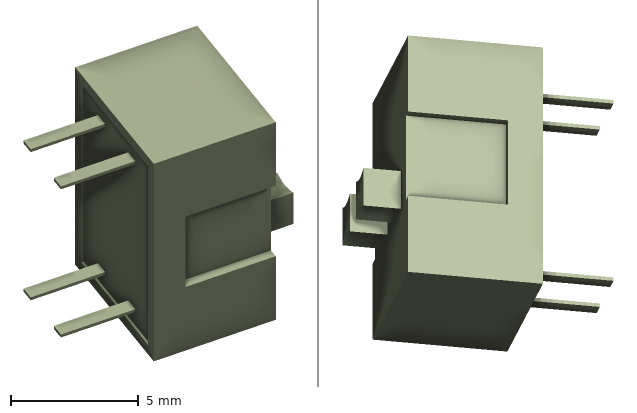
import cadquery as cq

body_width = 6.6
body_depth = 5.4
body_height = 10.16

rim = 0.5
recess_depth = 0.1

pin_pitch_x = 2.54
pin_pitch_z = 7.62
pin_width = 0.6
pin_thickness = 0.15
pin_length = 3.2

pocket_height = 3.62
pocket_length = 4.0
pocket_depth = 0.4

knob_pitch = 2.52
knob_width = 1.36
knob_height = 1.62
knob_length = 1.5
knob_center_z = -0.96
groove_depth = 0.16


def block(width, depth, height, x, y_front, z):
    """Box centred on x and z that starts at y_front and runs toward +Y."""
    return (
        cq.Workplane("XY")
        .box(width, depth, height, centered=(True, False, True))
        .translate((x, y_front, z))
    )


def housing():
    body = block(body_width, body_depth, body_height, 0, 0, 0)
    recess = block(body_width - 2 * rim, recess_depth, body_height - 2 * rim, 0, 0, 0)
    body = body.cut(recess)
    for side in (-1, 1):
        pocket_x = side * (body_width - pocket_depth) / 2
        pocket_front = body_depth - pocket_length
        body = body.cut(block(pocket_depth, pocket_length, pocket_height, pocket_x, pocket_front, 0))
    return body


def pin(x, z):
    return block(pin_width, pin_length + recess_depth, pin_thickness, x, -pin_length, z)


def knob(x):
    half_width = knob_width / 2
    half_height = knob_height / 2
    groove_floor = half_height - groove_depth
    return (
        cq.Workplane("XZ", origin=(x, body_depth, knob_center_z))
        .moveTo(-half_width, half_height)
        .threePointArc((0, groove_floor), (half_width, half_height))
        .lineTo(half_width, -half_height)
        .threePointArc((0, -groove_floor), (-half_width, -half_height))
        .close()
        .extrude(-knob_length)
    )


result = housing()
for side_x in (-1, 1):
    result = result.union(knob(side_x * knob_pitch / 2))
    for side_z in (-1, 1):
        result = result.union(pin(side_x * pin_pitch_x / 2, side_z * pin_pitch_z / 2))